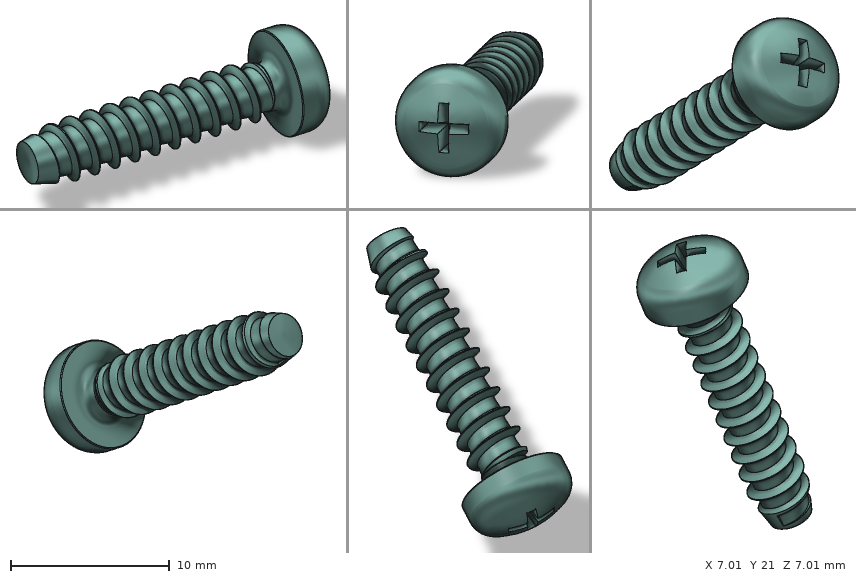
import cadquery as cq
import math


total_length = 21.05
shank_length = 18.0
head_height = total_length - shank_length

head_radius = 3.505
crown_height = 3.07
rim_height = 1.14
corner_radius = 1.4
head_edge_chamfer = 0.06

recess_radius = 1.65
recess_width = 0.72
recess_depth = 1.68
recess_taper = 10.0

collar_radius = 1.58
collar_length = 0.97
neck_fillet = 0.6

tip_radius = 1.39
tip_dimple_depth = 0.1

pitch = 1.46
thread_radius = 2.02
crest_width = 0.06
groove_overcut = 0.06
crest_on_x = 0.78
core_radius = 1.45
flank_foot_radius = 1.62
flank_foot_offset = 0.19
leading_root_offset = 0.32
trailing_root_radius = 1.52
trailing_root_offset = 0.27
root_taper_end = 0.86
head_runout_radius = 1.66
head_runout_end = 2.27
tip_runout_length = 2.45
bar_seam_angle = 100.0


def revolve_outline(outline):
    """Close a half outline drawn in the local XZ plane and spin it about the screw axis."""
    return outline.close().revolve(360, (0, 0), (0, 1))


def make_head():
    """Pan head: cylindrical rim, rounded corner and a crown tangent to the corner."""
    corner_r = head_radius - corner_radius
    corner_to_crown = crown_height - rim_height
    crown_radius = (corner_r**2 + corner_to_crown**2 - corner_radius**2) / (
        2 * (corner_to_crown - corner_radius)
    )
    crown_center_z = crown_radius - crown_height
    tangent_angle = math.acos(corner_r / (crown_radius - corner_radius))
    crown_mid_angle = (tangent_angle + math.pi / 2) / 2

    def corner_point(angle):
        return (
            corner_r + corner_radius * math.cos(angle),
            -rim_height - corner_radius * math.sin(angle),
        )

    crown_mid = (
        crown_radius * math.cos(crown_mid_angle),
        crown_center_z - crown_radius * math.sin(crown_mid_angle),
    )
    outline = (
        cq.Workplane("XZ")
        .lineTo(head_radius - head_edge_chamfer, 0)
        .lineTo(head_radius, -head_edge_chamfer)
        .lineTo(head_radius, -rim_height)
        .threePointArc(corner_point(tangent_angle / 2), corner_point(tangent_angle))
        .threePointArc(crown_mid, (0, -crown_height))
    )
    return revolve_outline(outline)


def make_collar():
    """Plain collar that flares into the head with a fillet."""
    mid_offset = neck_fillet * (1 - math.sqrt(0.5))
    outline = (
        cq.Workplane("XZ")
        .lineTo(collar_radius + neck_fillet, 0)
        .threePointArc((collar_radius + mid_offset, mid_offset), (collar_radius, neck_fillet))
        .lineTo(collar_radius, collar_length)
        .lineTo(0, collar_length)
    )
    return revolve_outline(outline)


def make_thread_envelope():
    """Cylinder at the thread's outer radius, tapered at both runouts, with a dimpled tip."""
    outline = (
        cq.Workplane("XZ")
        .moveTo(0, collar_length)
        .lineTo(head_runout_radius, collar_length)
        .lineTo(thread_radius, head_runout_end)
        .lineTo(thread_radius, shank_length - tip_runout_length)
        .lineTo(tip_radius, shank_length)
        .lineTo(0, shank_length - tip_dimple_depth)
    )
    return revolve_outline(outline)


def make_groove():
    """Helical groove that fills the gap between crests and leaves the thread standing."""
    start = crest_on_x - 2 * pitch
    next_crest = start + pitch
    turns_length = shank_length - start
    flank_run = (flank_foot_offset - crest_width / 2) / (thread_radius - flank_foot_radius)
    mouth_radius = thread_radius + groove_overcut
    mouth_offset = crest_width / 2 - groove_overcut * flank_run
    profile = [
        (mouth_radius, start + mouth_offset),
        (flank_foot_radius, start + flank_foot_offset),
        (trailing_root_radius, start + trailing_root_offset),
        (core_radius, start + root_taper_end),
        (core_radius, next_crest - leading_root_offset),
        (flank_foot_radius, next_crest - flank_foot_offset),
        (mouth_radius, next_crest - mouth_offset),
    ]
    helix = cq.Wire.makeHelix(pitch, turns_length, core_radius).translate(cq.Vector(0, 0, start))
    section = cq.Workplane("XZ").polyline(profile).close()
    return section.sweep(cq.Workplane(helix), isFrenet=True)


def make_threaded_shank():
    """Long threaded bar trimmed to the tapered envelope of the shank."""
    bar_start = -2 * pitch
    bar_end = shank_length + 2 * pitch
    bar = (
        cq.Workplane("XY", origin=(0, 0, bar_start))
        .circle(thread_radius)
        .extrude(bar_end - bar_start)
        .rotate((0, 0, 0), (0, 0, 1), bar_seam_angle)
    )
    return bar.cut(make_groove()).intersect(make_thread_envelope())


def make_recess():
    """Cross recess with drafted walls."""
    wing = (
        cq.Workplane("XY", origin=(0, 0, -crown_height))
        .rect(2 * recess_radius, recess_width)
        .extrude(recess_depth, taper=recess_taper)
    )
    return wing.union(wing.rotate((0, 0, 0), (0, 0, 1), 90))


head = make_head().union(make_collar()).cut(make_recess())
screw = head.union(make_threaded_shank())
result = screw.rotate((0, 0, 0), (1, 0, 0), 90)